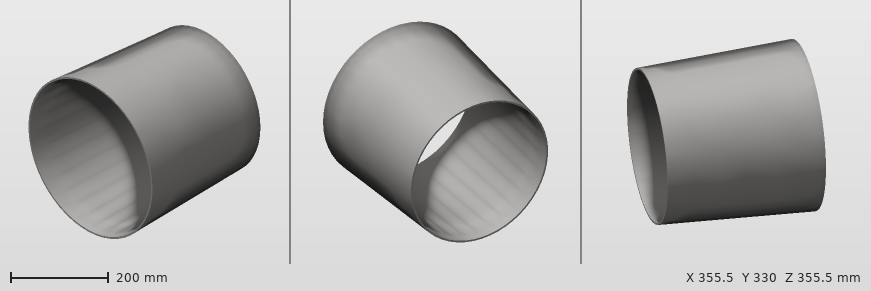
import cadquery as cq

large_diameter = 355.5
small_diameter = 324.0
wall_thickness = 4.0
length = 330.0

large_radius = large_diameter / 2
small_radius = small_diameter / 2
large_end_y = -length / 2
small_end_y = length / 2

wall_section = (
    cq.Workplane("XY")
    .moveTo(large_radius - wall_thickness, large_end_y)
    .lineTo(large_radius, large_end_y)
    .lineTo(small_radius, small_end_y)
    .lineTo(small_radius - wall_thickness, small_end_y)
    .close()
)

axis_start = (0, 0, 0)
axis_end = (0, 1, 0)
result = wall_section.revolve(360, axis_start, axis_end)